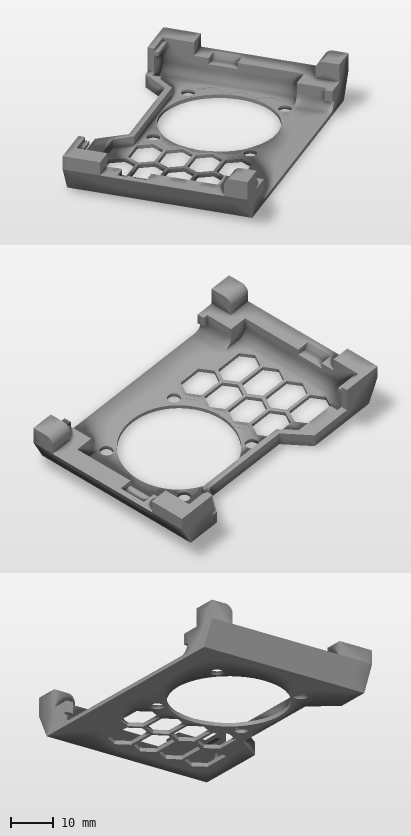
import cadquery as cq
import math

LENGTH_X = 45.8
WIDTH_Y = 69.55
LEFT = -LENGTH_X / 2
RIGHT = LENGTH_X / 2
SIDE = WIDTH_Y / 2

FLOOR_TOP = 1.0
RIM_TOP = 3.4
RAIL_TOP = 6.25
BLOCK_TOP = 9.75
POST_TOP = 10.9

CHAMFER_RUN = 3.1
CHAMFER_TOP = RAIL_TOP

BLOCK_LENGTH = 9.3
BLOCK_INNER_Y = 23.85

CAVITY_LEFT = LEFT + 1.7
BAY_SPLIT = LEFT + 36.6
WIDE_HALF = 29.85
NARROW_HALF = 24.9
FLOOR_FILLET = 2.5

RECESS_DEPTH = 6.7
RECESS_MOUTH = (-12.4, 22.4)
RECESS_BOTTOM = (-7.5, 17.4)
RIM_END_INNER_X = LEFT + 3.95
RIM_MID_INNER_X = LEFT + 8.15
RIM_END_CORNERS = (-11.4, 21.3)
RIM_MID_CORNERS = (-8.15, 18.1)
RIM_CREST_Y = 22.45
RIM_FOOT_Y = 23.5

LEDGE_REACH = 1.05
LEDGE_TOP = 8.8
LEDGE_THICKNESS = 1.0

POST_LENGTH = 5.9
POST_WIDTH = 6.2
POST_RADIUS = 2.0

LIP_LENGTH = 1.9
LIP_INNER_Y = 23.65

NOTCH_LEFT = LEFT + 13.0
NOTCH_LENGTH = 7.15
NOTCH_OUTER_Y = 33.3
NOTCH_DEPTH = 1.6
NOTCH_SLOPE_RUN = 1.25

FAN_Y = 9.4
FAN_DIAMETER = 29.0
SCREW_DIAMETER = 3.2
SCREW_SPACING = 24.0

HEX_WIDTH = 6.55
HEX_SIDE = 7.45
HEX_GRID_ORIGIN = (0.1, -0.1)
HEX_PITCH_X = 7.3
HEX_PITCH_Y = 10.2
HEX_POCKET_DEPTH = 0.1
HEX_STEP = 1.1


def box(x0, x1, y0, y1, z0, z1):
    return cq.Workplane("XY").box(x1 - x0, y1 - y0, z1 - z0, centered=False).translate((x0, y0, z0))


def both_sides(shape):
    return shape.union(shape.mirror("XZ"))


def outer_body():
    recess_x = LEFT + RECESS_DEPTH
    plan = [
        (LEFT, -SIDE),
        (RIGHT, -SIDE),
        (RIGHT, SIDE),
        (LEFT, SIDE),
        (LEFT, RECESS_MOUTH[1]),
        (recess_x, RECESS_BOTTOM[1]),
        (recess_x, RECESS_BOTTOM[0]),
        (LEFT, RECESS_MOUTH[0]),
    ]
    bottom_half = SIDE - CHAMFER_RUN
    section = [
        (-bottom_half, 0),
        (bottom_half, 0),
        (SIDE, CHAMFER_TOP),
        (SIDE, BLOCK_TOP),
        (-SIDE, BLOCK_TOP),
        (-SIDE, CHAMFER_TOP),
    ]
    body = cq.Workplane("XY").polyline(plan).close().extrude(BLOCK_TOP)
    envelope = cq.Workplane("YZ").polyline(section).close().extrude(LENGTH_X).translate((LEFT, 0, 0))
    body = body.intersect(envelope)
    above_rails = box(LEFT + BLOCK_LENGTH, RIGHT, -SIDE, SIDE, RAIL_TOP, BLOCK_TOP)
    above_rim = box(LEFT, BAY_SPLIT, -BLOCK_INNER_Y, BLOCK_INNER_Y, RIM_TOP, BLOCK_TOP)
    return body.cut(above_rails).cut(above_rim)


def bay(x0, x1, half_width):
    """Trough with concave fillets where its side walls meet the floor."""
    floor_half = half_width - FLOOR_FILLET
    fillet_top = FLOOR_TOP + FLOOR_FILLET
    mid = FLOOR_FILLET * (1 - math.sqrt(0.5))
    return (
        cq.Workplane("YZ")
        .moveTo(-floor_half, FLOOR_TOP)
        .lineTo(floor_half, FLOOR_TOP)
        .threePointArc((half_width - mid, FLOOR_TOP + mid), (half_width, fillet_top))
        .lineTo(half_width, BLOCK_TOP)
        .lineTo(-half_width, BLOCK_TOP)
        .lineTo(-half_width, fillet_top)
        .threePointArc((-half_width + mid, FLOOR_TOP + mid), (-floor_half, FLOOR_TOP))
        .close()
        .extrude(x1 - x0)
        .translate((x0, 0, 0))
    )


def rim():
    """Raised band along the left edge, sloping down to the floor at both ends."""
    plan = [
        (LEFT, -RIM_FOOT_Y),
        (RIM_END_INNER_X, -RIM_FOOT_Y),
        (RIM_END_INNER_X, RIM_END_CORNERS[0]),
        (RIM_MID_INNER_X, RIM_MID_CORNERS[0]),
        (RIM_MID_INNER_X, RIM_MID_CORNERS[1]),
        (RIM_END_INNER_X, RIM_END_CORNERS[1]),
        (RIM_END_INNER_X, RIM_FOOT_Y),
        (LEFT, RIM_FOOT_Y),
    ]
    slopes = [
        (-RIM_FOOT_Y, FLOOR_TOP),
        (RIM_FOOT_Y, FLOOR_TOP),
        (RIM_CREST_Y, RIM_TOP),
        (-RIM_CREST_Y, RIM_TOP),
    ]
    band = cq.Workplane("XY").polyline(plan).close().extrude(RIM_TOP)
    profile = cq.Workplane("YZ").polyline(slopes).close().extrude(LENGTH_X).translate((LEFT, 0, 0))
    return band.intersect(profile)


def ledges():
    tip = CAVITY_LEFT + LEDGE_REACH
    bottom = LEDGE_TOP - LEDGE_THICKNESS
    return both_sides(box(CAVITY_LEFT, tip, BLOCK_INNER_Y, WIDE_HALF, bottom, LEDGE_TOP))


def posts():
    post = box(RIGHT - POST_LENGTH, RIGHT, SIDE - POST_WIDTH, SIDE, RAIL_TOP, POST_TOP)
    return both_sides(post.edges("<X and >Z").fillet(POST_RADIUS))


def lips():
    return both_sides(box(RIGHT - LIP_LENGTH, RIGHT, LIP_INNER_Y, NARROW_HALF, RIM_TOP, RAIL_TOP))


def notches():
    bottom = RAIL_TOP - NOTCH_DEPTH
    section = [
        (WIDE_HALF, RAIL_TOP),
        (WIDE_HALF, bottom),
        (NOTCH_OUTER_Y - NOTCH_SLOPE_RUN, bottom),
        (NOTCH_OUTER_Y, RAIL_TOP),
    ]
    notch = cq.Workplane("YZ").polyline(section).close().extrude(NOTCH_LENGTH)
    return both_sides(notch.translate((NOTCH_LEFT, 0, 0)))


def hexagons(centres, bottom, lowered_top=0):
    """Upright prisms through the floor surface; lowered_top shortens their +Y end."""
    half = HEX_WIDTH / 2
    shoulder = HEX_SIDE / 2
    point = shoulder + half * math.tan(math.radians(30))
    outline = [
        (half, -shoulder),
        (half, shoulder - lowered_top),
        (0, point - lowered_top),
        (-half, shoulder - lowered_top),
        (-half, -shoulder),
        (0, -point),
    ]
    prism = cq.Workplane("XY").polyline(outline).close().extrude(FLOOR_TOP - bottom).val()
    return cq.Workplane("XY").pushPoints(centres).eachpoint(
        lambda place: prism.moved(cq.Location((0, 0, bottom))).moved(place), combine=False
    )


def hex_row(row, columns):
    x0, y0 = HEX_GRID_ORIGIN
    return [(x0 + column * HEX_PITCH_X, y0 + row * HEX_PITCH_Y) for column in columns]


def cut_honeycomb(body):
    even_columns = (-1.5, -0.5, 0.5, 1.5)
    stepped_row = hex_row(-1, even_columns)
    open_row = hex_row(-2, (-2, -1, 0, 1))
    closed_rows = hex_row(0, (-1, 0, 1)) + hex_row(1, even_columns) + hex_row(2, (-1, 0, 1))
    pocket_bottom = FLOOR_TOP - HEX_POCKET_DEPTH
    body = body.cut(hexagons(closed_rows + stepped_row, pocket_bottom))
    body = body.cut(hexagons(stepped_row, 0, HEX_STEP))
    return body.cut(hexagons(open_row, 0))


def cut_fan_opening(body):
    fan = cq.Workplane("XY").center(0, FAN_Y).circle(FAN_DIAMETER / 2).extrude(FLOOR_TOP)
    screws = (
        cq.Workplane("XY")
        .center(0, FAN_Y)
        .rect(SCREW_SPACING, SCREW_SPACING, forConstruction=True)
        .vertices()
        .circle(SCREW_DIAMETER / 2)
        .extrude(FLOOR_TOP)
    )
    return body.cut(fan).cut(screws)


cavity = bay(CAVITY_LEFT, BAY_SPLIT, WIDE_HALF).union(bay(BAY_SPLIT, RIGHT, NARROW_HALF)).cut(rim())
result = outer_body().cut(cavity)
result = result.union(ledges()).union(posts()).union(lips())
result = result.cut(notches())
result = cut_honeycomb(result)
result = cut_fan_opening(result)